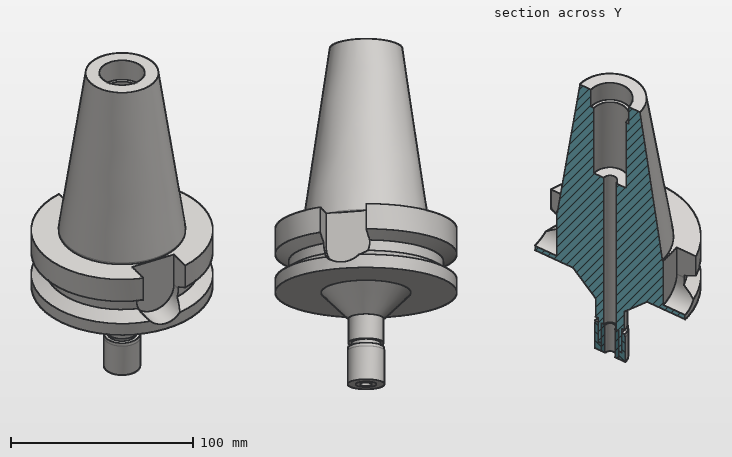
import cadquery as cq

total_height = 191.8
gauge_z = 90.0
flange_top_z = 88.8
groove_top_edge_z = 74.5
groove_floor_top_z = 70.2
groove_floor_bottom_z = 64.3
groove_bottom_edge_z = 59.8
flange_bottom_z = 52.4
nose_cone_bottom_z = 37.4
collar_bottom_z = 23.5
nut_top_z = 21.0
neck_bottom_z = 5.8

taper_ratio = 7 / 24
gauge_radius = 35.0
taper_small_radius = gauge_radius - (total_height - gauge_z) * taper_ratio / 2
flange_radius = 49.96
groove_radius = 42.5
collar_radius = 9.69
nose_cone_radius = collar_radius + flange_bottom_z - nose_cone_bottom_z
neck_radius = 7.96

slot_width = 26.0
slot_floor_x = 35.5
slot_bottom_z = 56.0

counterbore_radius = 12.5
counterbore_depth = 12.7
drawbar_radius = 10.5
drawbar_depth = 61.4
passage_radius = 4.0

nut_radius = 10.2
nut_chamfer_height = 1.7
nut_chamfer_width = 0.2
collet_radius = 5.8
collet_length = nut_top_z
collet_bore_radius = 3.3


def cylinder(radius, bottom_z, top_z):
    """Upright cylinder on the Z axis."""
    return cq.Workplane("XY").workplane(offset=bottom_z).circle(radius).extrude(top_z - bottom_z)


def drive_slot(side):
    """Round-bottomed slot cutter, open upward and outward; side is +1 or -1 along X."""
    slot_length = flange_radius - slot_floor_x
    middle_x = side * (slot_floor_x + slot_length / 2)
    arc_center_z = slot_bottom_z + slot_width / 2
    straight_height = flange_top_z - arc_center_z
    walls = (
        cq.Workplane("XY")
        .box(slot_length, slot_width, straight_height, centered=(True, True, False))
        .translate((middle_x, 0, arc_center_z))
    )
    round_bottom = (
        cq.Workplane("YZ")
        .circle(slot_width / 2)
        .extrude(slot_length)
        .translate((middle_x - slot_length / 2, 0, arc_center_z))
    )
    return walls.union(round_bottom)


def make_holder():
    """Taper shank, grooved flange, nose cone and neck, with the bores along the axis."""
    profile = [
        (0, neck_bottom_z),
        (neck_radius, neck_bottom_z),
        (neck_radius, collar_bottom_z),
        (collar_radius, collar_bottom_z),
        (collar_radius, nose_cone_bottom_z),
        (nose_cone_radius, flange_bottom_z),
        (flange_radius, flange_bottom_z),
        (flange_radius, groove_bottom_edge_z),
        (groove_radius, groove_floor_bottom_z),
        (groove_radius, groove_floor_top_z),
        (flange_radius, groove_top_edge_z),
        (flange_radius, flange_top_z),
        (gauge_radius, flange_top_z),
        (gauge_radius, gauge_z),
        (taper_small_radius, total_height),
        (0, total_height),
    ]
    body = cq.Workplane("XZ").polyline(profile).close().revolve(360, (0, 0, 0), (0, 1, 0))
    for side in (-1, 1):
        body = body.cut(drive_slot(side))
    body = body.cut(cylinder(counterbore_radius, total_height - counterbore_depth, total_height))
    body = body.cut(cylinder(drawbar_radius, total_height - drawbar_depth, total_height))
    body = body.cut(cylinder(passage_radius, neck_bottom_z, total_height))
    return body.cut(cylinder(collet_radius, neck_bottom_z, collet_length))


def make_nut():
    """Clamping nut with a slightly relieved upper edge, screwed over the neck."""
    profile = [
        (collet_radius, 0),
        (nut_radius, 0),
        (nut_radius, nut_top_z - nut_chamfer_height),
        (nut_radius - nut_chamfer_width, nut_top_z),
        (neck_radius, nut_top_z),
        (neck_radius, neck_bottom_z),
        (collet_radius, neck_bottom_z),
    ]
    return cq.Workplane("XZ").polyline(profile).close().revolve(360, (0, 0, 0), (0, 1, 0))


def make_collet():
    """Straight sleeve seated in the neck, its lower face flush with the nut."""
    return cylinder(collet_radius, 0, collet_length).cut(cylinder(collet_bore_radius, 0, collet_length))


holder = make_holder()
nut = make_nut()
collet = make_collet()

result = cq.Compound.makeCompound([holder.solids().val(), nut.val(), collet.solids().val()])